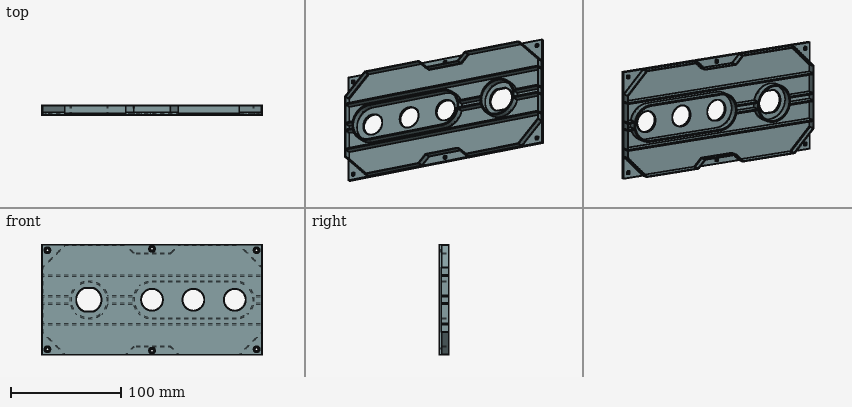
import cadquery as cq

panel_width = 200
panel_height = 100
total_depth = 9.0
plate_thickness = 2.5
front_y = -total_depth / 2

corner_cut = 20.5
notch_mouth_width = 47.5
notch_depth = 7.5

floor_thickness = 2
outer_wall = 0.5
rib_thickness = 1.2
rib_heights = (-22, -3.5, 3.5, 22)

chamber_diameter = 32.5
round_hole_diameter = 19.5
round_hole_pitch = 37.5
round_hole_count = 3
flat_hole_diameter = 22.8
flat_hole_height = 21.0
flat_hole_x = -57.5

screw_diameter = 3.2
countersink_diameter = 5.5
countersink_angle = 90
corner_screw_x = 95.0
corner_screw_z = 45.0
middle_screw_z = 46.2

round_hole_row_length = (round_hole_count - 1) * round_hole_pitch
round_hole_row_center = round_hole_row_length / 2


def plane_at(depth):
    """XZ plane at a depth behind the front face; extrusions run toward the back."""
    return cq.Workplane("XZ", origin=(0, front_y + depth, 0))


def extrude_back(sketch, start_depth, end_depth):
    """Extrude a sketch, drawn at start_depth, back to end_depth."""
    return sketch.extrude(start_depth - end_depth)


def frame_outline(depth):
    """Rectangle with cut corners and a trapezoid notch at the middle of the top and bottom."""
    half_width = panel_width / 2
    half_height = panel_height / 2
    notch_outer = notch_mouth_width / 2
    notch_inner = notch_outer - notch_depth
    upper_right = [
        (notch_inner, half_height - notch_depth),
        (notch_outer, half_height),
        (half_width - corner_cut, half_height),
        (half_width, half_height - corner_cut),
    ]
    lower_right = [(x, -z) for x, z in reversed(upper_right)]
    right_side = upper_right + lower_right
    left_side = [(-x, z) for x, z in reversed(right_side)]
    return plane_at(depth).polyline(right_side + left_side).close()


def chambers(start_depth, wall=0.0):
    """Round chamber behind the flatted hole and slot chamber behind the row of round holes."""
    diameter = chamber_diameter + 2 * wall
    round_chamber = plane_at(start_depth).center(flat_hole_x, 0).circle(diameter / 2)
    slot_chamber = plane_at(start_depth).center(round_hole_row_center, 0)
    slot_chamber = slot_chamber.slot2D(round_hole_row_length + diameter, diameter)
    round_solid = extrude_back(round_chamber, start_depth, total_depth)
    return round_solid.union(extrude_back(slot_chamber, start_depth, total_depth))


def hollow_back():
    """Space removed from the back, leaving the ribs and the walls around the chambers."""
    cavity = extrude_back(frame_outline(floor_thickness).offset2D(-outer_wall), floor_thickness, total_depth)
    rib_centers = [(0, z) for z in rib_heights]
    ribs = plane_at(floor_thickness).pushPoints(rib_centers).rect(panel_width, rib_thickness)
    cavity = cavity.cut(extrude_back(ribs, floor_thickness, total_depth))
    cavity = cavity.cut(chambers(floor_thickness, rib_thickness))
    return cavity.union(chambers(floor_thickness))


def front_openings():
    """Row of round holes and one round hole with flats at its top and bottom."""
    centers = [(i * round_hole_pitch, 0) for i in range(round_hole_count)]
    round_holes = plane_at(0).pushPoints(centers).circle(round_hole_diameter / 2)
    flat_hole = plane_at(0).center(flat_hole_x, 0).circle(flat_hole_diameter / 2)
    flats = plane_at(0).center(flat_hole_x, 0).rect(flat_hole_diameter, flat_hole_height)
    flatted = extrude_back(flat_hole, 0, total_depth).intersect(extrude_back(flats, 0, total_depth))
    return extrude_back(round_holes, 0, total_depth).union(flatted)


plate = extrude_back(plane_at(0).rect(panel_width, panel_height), 0, plate_thickness)
frame = extrude_back(frame_outline(plate_thickness), plate_thickness, total_depth)
body = plate.union(frame).cut(hollow_back()).cut(front_openings())

screw_points = [(x, z) for x in (-corner_screw_x, corner_screw_x) for z in (-corner_screw_z, corner_screw_z)]
screw_points += [(0, -middle_screw_z), (0, middle_screw_z)]
result = (
    body.faces("<Y").workplane(origin=(0, front_y, 0))
    .pushPoints(screw_points)
    .cskHole(screw_diameter, countersink_diameter, countersink_angle)
)